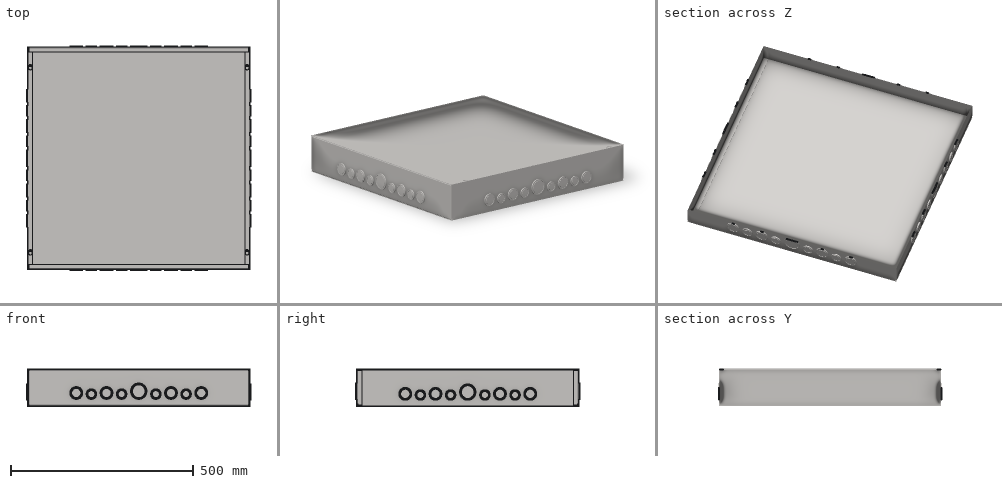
import cadquery as cq
side = 609.6
overall_width = 615.54
overall_height = 103.05
sheet = 1.55
cover_overhang = 0.4
box_height = overall_height - sheet
half = side / 2
panel_half = half - sheet

bend_radius = 2.2
side_flange = 15.0
top_flange = 12.7
relief_depth = 2.9
relief_height = 3 * sheet

ring_rise = (overall_width - side) / 2
inner_ring_rise = 2 / 3 * ring_rise
core_rise = ring_rise
ring_width = 2.3
wrapper_knockout_base = 17.2
panel_knockout_base = 19.6
small_radius = 28.6 / 2
medium_radius = 34.9 / 2
large_radius = 44.5 / 2
knockout_row = (
    (large_radius, (0,)),
    (small_radius, (-130.0, -47.0, 47.0, 130.0)),
    (medium_radius, (-171.5, -88.5, 88.5, 171.5)),
)

screw_x = 297.5
screw_y = 254.0
screw_hole_diameter = 3.5
neck_diameter = 6.4
head_diameter = 10.6
head_drop = 6.2
screw_points = [(x, y) for x in (-screw_x, screw_x) for y in (-screw_y, screw_y)]


def block(x_range, y_range, z_range):
    """Box between the given limits along each axis."""
    corner = (x_range[0], y_range[0], z_range[0])
    size = (x_range[1] - x_range[0], y_range[1] - y_range[0], z_range[1] - z_range[0])
    return cq.Workplane("XY").box(*size, centered=False).translate(corner)


def half_turn(body):
    return body.rotate((0, 0, 0), (0, 0, 1), 180)


def knockout(radius):
    """Stepped round knockout rising along -Y from the origin."""
    steps = (
        (radius, radius - ring_width, ring_rise),
        (radius - ring_width, radius - 2 * ring_width, inner_ring_rise),
    )
    body = cq.Workplane("XZ").circle(radius - 2 * ring_width).extrude(core_rise)
    for outer, inner, rise in steps:
        body = body.union(cq.Workplane("XZ").circle(outer).circle(inner).extrude(rise))
    return body


def add_knockouts(wall, base):
    """Join a row of knockouts with lowest points at z = base to a wall whose outer face is at y = -half."""
    for radius, offsets in knockout_row:
        stud = knockout(radius)
        for offset in offsets:
            wall = wall.union(stud.translate((offset, -half, base + radius)))
    return wall


def end_panel():
    """Wall at -Y with flanges folded inward along all four of its edges."""
    depth = (-half, -half + side_flange)
    panel = block((-panel_half, panel_half), depth, (sheet, box_height))
    panel = panel.faces("<Y").edges().fillet(bend_radius)
    hollow = block(
        (-panel_half + sheet, panel_half - sheet),
        (-half + sheet, -half + side_flange),
        (2 * sheet, box_height - sheet),
    )
    panel = panel.cut(hollow.faces("<Y").edges().fillet(bend_radius - sheet))

    panel = panel.cut(
        block((-half, half), (-half + top_flange, 0), (box_height - sheet, box_height))
    )

    for x in (-panel_half, panel_half - bend_radius):
        for z in (sheet, box_height - bend_radius):
            relief = block(
                (x, x + bend_radius), (-half + bend_radius, 0), (z, z + bend_radius)
            )
            panel = panel.cut(relief)
    return add_knockouts(panel, panel_knockout_base)


def side_wall():
    """Wall of the wrapper, modelled at -Y, with its top flange and corner reliefs."""
    wall = block((-half, half), (-half, -half + sheet), (0, box_height))

    lip_half = half - top_flange
    lip = block((-lip_half, lip_half), (-half, -half + top_flange), (box_height - sheet, box_height))
    lip = lip.cut(
        cq.Workplane("XY")
        .pushPoints([(-screw_y, -screw_x), (screw_y, -screw_x)])
        .circle(screw_hole_diameter / 2)
        .extrude(box_height)
    )
    wall = wall.union(lip)
    for x in (-half, half - relief_depth):
        relief = block((x, x + relief_depth), (-half, -half + sheet), (sheet, sheet + relief_height))
        wall = wall.cut(relief)
    return add_knockouts(wall, wrapper_knockout_base)


def wrapper():
    """Back plate with the -X and +X walls folded up from it."""
    left_wall = side_wall().rotate((0, 0, 0), (0, 0, 1), -90)
    back = block((-half, half), (-half, half), (0, sheet))
    return back.union(left_wall).union(half_turn(left_wall))


def cover():
    """Flat plate with a keyhole over each screw hole, neck towards +Y."""
    edge = half + cover_overhang
    plate = block((-edge, edge), (-edge, edge), (box_height, overall_height))
    keyhole = (
        cq.Workplane("XY")
        .circle(neck_diameter / 2)
        .extrude(sheet)
        .union(cq.Workplane("XY").center(0, -head_drop).circle(head_diameter / 2).extrude(sheet))
        .union(cq.Workplane("XY").center(0, -head_drop / 2).rect(neck_diameter, head_drop).extrude(sheet))
    )
    for x, y in screw_points:
        plate = plate.cut(keyhole.translate((x, y, box_height)))
    return plate


front_panel = end_panel()
rear_panel = half_turn(front_panel)

result = cq.Compound.makeCompound(
    [wrapper().val(), front_panel.val(), rear_panel.val(), cover().val()]
)